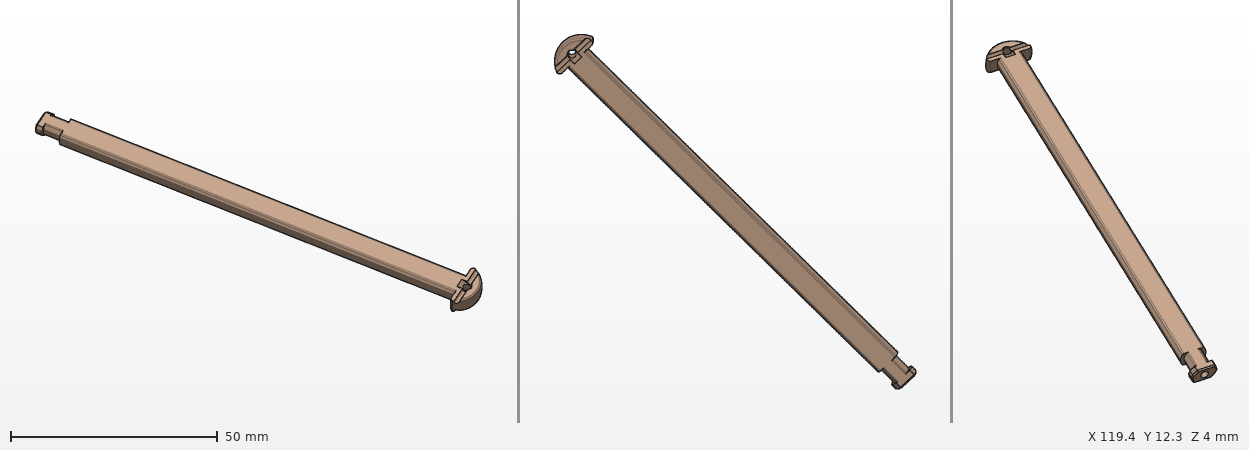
import cadquery as cq
import math

length = 119.38
thickness = 4.0
half_thickness = thickness / 2

shaft_diameter = 6.8
shaft_edge_radius = 0.5
shaft_start = 6.7

neck_diameter = 5.0
neck_edge_radius = 0.5

collar_length = 1.9
collar_end_chamfer = 0.35
facet_corner_y = 3.07
facet_corner_z = 0.75
facet_top_y = 1.82

end_hole_diameter = 2.0
end_hole_depth = 2.0
drill_point_angle = 118.0

head_diameter = 12.25
head_start = 114.4
rim_radius = 0.8
dome_edge_radius = 0.5

groove_x = 116.1
groove_width = 1.2
groove_depth = 0.7

cord_hole_x = groove_x
cord_hole_diameter = 2.0
countersink = 0.2

lead_in_start = 114.0
lead_in_width = 2.5
lead_in_depth = 0.8


def slab():
    """Block between the top and bottom flats, as long and as wide as the part."""
    return cq.Workplane("XY").box(length, head_diameter, thickness, centered=(False, True, True))


def flattened_rod(start, end, diameter, edge_radius):
    rod = cq.Workplane("YZ", origin=(start, 0, 0)).circle(diameter / 2).extrude(end - start)
    return rod.intersect(slab()).edges("|X").edges(">Z or <Z").fillet(edge_radius)


def collar():
    radius = shaft_diameter / 2
    flat_y = math.sqrt(radius**2 - half_thickness**2)
    mid_angle = math.asin(half_thickness / radius) / 2
    arc_y = radius * math.cos(mid_angle)
    arc_z = radius * math.sin(mid_angle)
    return (
        cq.Workplane("YZ")
        .moveTo(radius, 0)
        .lineTo(facet_corner_y, facet_corner_z)
        .lineTo(facet_top_y, half_thickness)
        .lineTo(-flat_y, half_thickness)
        .threePointArc((-arc_y, arc_z), (-radius, 0))
        .lineTo(-facet_corner_y, -facet_corner_z)
        .lineTo(-facet_top_y, -half_thickness)
        .lineTo(flat_y, -half_thickness)
        .threePointArc((arc_y, -arc_z), (radius, 0))
        .close()
        .extrude(collar_length)
        .faces("<X")
        .chamfer(collar_end_chamfer)
    )


def grooves():
    return (
        cq.Workplane("XZ", origin=(0, head_diameter / 2, 0))
        .pushPoints([(groove_x, half_thickness), (groove_x, -half_thickness)])
        .slot2D(2 * groove_depth, groove_width, 90)
        .extrude(head_diameter)
    )


def head():
    """Grooved disc, turned about X and cut to the slab; its edges are rounded on the dome side only."""
    head_radius = head_diameter / 2
    rim_end = head_start + rim_radius
    dome_height = length - rim_end
    dome_radius = (head_radius**2 + dome_height**2) / (2 * dome_height)
    mid_angle = math.asin(head_radius / dome_radius) / 2
    dome_middle = (
        length - dome_radius * (1 - math.cos(mid_angle)),
        dome_radius * math.sin(mid_angle),
    )
    disc = (
        cq.Workplane("XY")
        .moveTo(head_start, 0)
        .lineTo(head_start, head_radius - rim_radius)
        .radiusArc((rim_end, head_radius), rim_radius)
        .threePointArc(dome_middle, (length, 0))
        .close()
        .revolve(360, (0, 0, 0), (1, 0, 0))
    )
    flat_disc = disc.intersect(slab())
    back = flat_disc.intersect(slab().translate((groove_x - length, 0, 0)))
    dome = flat_disc.intersect(slab().translate((groove_x, 0, 0)))
    rounded_dome = dome.faces(">Z or <Z").edges("not |Y").fillet(dome_edge_radius)
    return back.union(rounded_dome).cut(grooves())


def cord_hole():
    radius = cord_hole_diameter / 2
    return (
        cq.Workplane("XZ", origin=(cord_hole_x, 0, 0))
        .moveTo(0, -half_thickness)
        .lineTo(radius + countersink, -half_thickness)
        .lineTo(radius, countersink - half_thickness)
        .lineTo(radius, half_thickness - countersink)
        .lineTo(radius + countersink, half_thickness)
        .lineTo(0, half_thickness)
        .close()
        .revolve(360, (0, 0, 0), (0, 1, 0))
    )


def lead_ins():
    top = (
        cq.Workplane("XZ", origin=(0, lead_in_width / 2, 0))
        .moveTo(lead_in_start, half_thickness)
        .lineTo(cord_hole_x, half_thickness)
        .lineTo(cord_hole_x, half_thickness - lead_in_depth)
        .close()
        .extrude(lead_in_width)
    )
    return top.union(top.mirror("XY"))


def end_hole():
    radius = end_hole_diameter / 2
    point_length = radius / math.tan(math.radians(drill_point_angle / 2))
    return (
        cq.Workplane("XY")
        .lineTo(0, radius)
        .lineTo(end_hole_depth, radius)
        .lineTo(end_hole_depth + point_length, 0)
        .close()
        .revolve(360, (0, 0, 0), (1, 0, 0))
    )


result = (
    collar()
    .union(flattened_rod(collar_length, shaft_start, neck_diameter, neck_edge_radius))
    .union(flattened_rod(shaft_start, head_start, shaft_diameter, shaft_edge_radius))
    .union(head())
    .cut(cord_hole())
    .cut(lead_ins())
    .cut(end_hole())
)